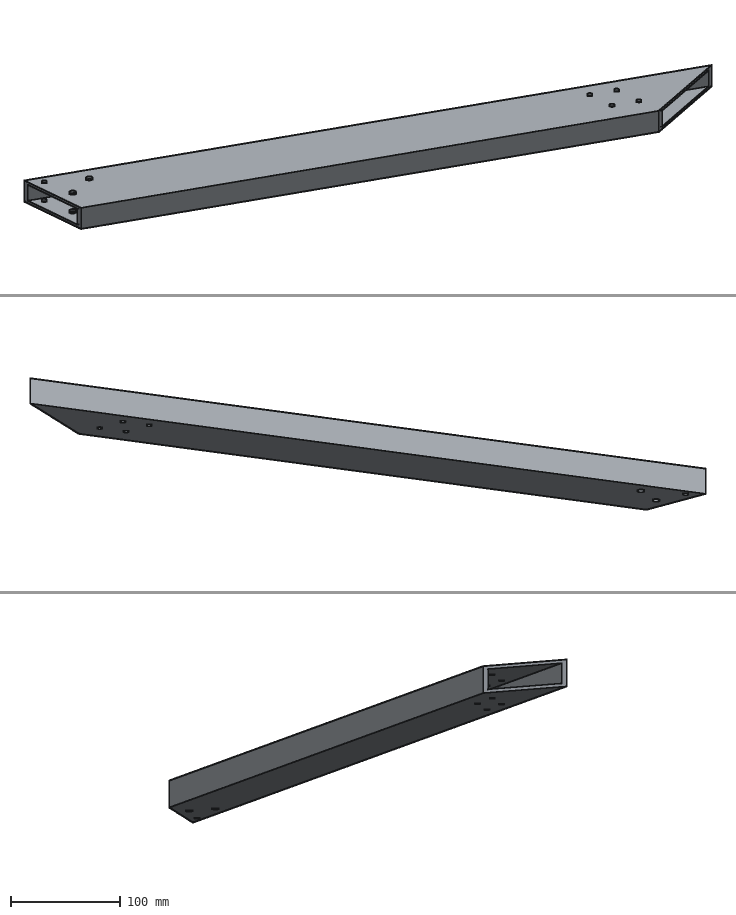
import cadquery as cq
import math

SPAN_X = 406.4
SPAN_Y = 508.0

TUBE_WIDTH = 50.8
TUBE_HEIGHT = 25.4
WALL = 3.175

AXIS_ANGLE = math.atan2(SPAN_Y, SPAN_X)
AXIS_X = math.cos(AXIS_ANGLE)
AXIS_Y = math.sin(AXIS_ANGLE)

HOLE_PITCH = 25.4

LARGE_HOLE_DIAMETER = 6.35
LARGE_HOLE_X = 46.04
LARGE_HOLE_Y = 12.7
SMALL_HOLE_DIAMETER = 4.8
CORNER_HOLE_X = 15.9
CORNER_HOLE_Y = 9.5

UPPER_HOLE_FROM_END = 23.1
UPPER_HOLE_FROM_TIP = 80.8
UPPER_HOLE_X = SPAN_X - UPPER_HOLE_FROM_END
UPPER_HOLE_Y = SPAN_Y - UPPER_HOLE_FROM_TIP


def mitred_bar(inset, height):
    """Bar between the end planes y = 0 and x = SPAN_X, narrowed by inset on both long sides."""
    slope = SPAN_Y / SPAN_X
    near_x = inset / AXIS_Y
    far_x = (TUBE_WIDTH - inset) / AXIS_Y
    outline = [
        (near_x, 0),
        (far_x, 0),
        (SPAN_X, (SPAN_X - far_x) * slope),
        (SPAN_X, (SPAN_X - near_x) * slope),
    ]
    return cq.Workplane("XY").polyline(outline).close().extrude(height / 2, both=True)


def drill(body, centres, diameter):
    """Drill vertical holes through both broad walls."""
    drills = (
        cq.Workplane("XY")
        .pushPoints(centres)
        .circle(diameter / 2)
        .extrude(TUBE_HEIGHT, both=True)
    )
    return body.cut(drills)


def upper_hole_centres():
    """Centres of the four upper holes, from the one nearest the mitred end."""
    centres = []
    for across in range(2):
        for along in range(2):
            x = UPPER_HOLE_X - HOLE_PITCH * (across + along * AXIS_X)
            y = UPPER_HOLE_Y - HOLE_PITCH * along * AXIS_Y
            centres.append((x, y))
    return centres


large_hole_centres = [(LARGE_HOLE_X, LARGE_HOLE_Y + i * HOLE_PITCH) for i in range(2)]
small_hole_centres = [(CORNER_HOLE_X, CORNER_HOLE_Y)] + upper_hole_centres()

tube = mitred_bar(0, TUBE_HEIGHT).cut(mitred_bar(WALL, TUBE_HEIGHT - 2 * WALL))
tube = drill(tube, large_hole_centres, LARGE_HOLE_DIAMETER)
result = drill(tube, small_hole_centres, SMALL_HOLE_DIAMETER)